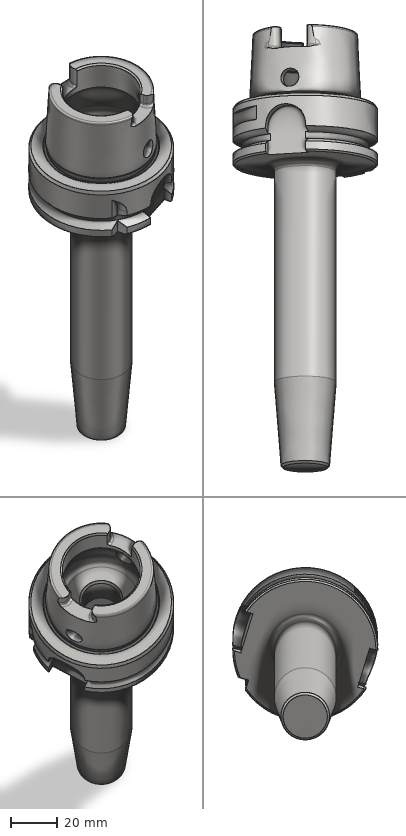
import cadquery as cq
import math

cone_top = 32.0
overall_length = 192.0
tip_bottom = cone_top - overall_length

gauge_radius = 24.0
gauge_height = 6.3
taper_slope = 0.05
rim_rounding = 1.0
taper_base = 2.1
relief_radius = 23.8
relief_top = 1.3
recess_radius = 25.3
recess_floor_radius = 25.0
recess_depth = 0.8

flange_radius = 31.5
flange_bottom = -26.0
flange_edge_width = 1.0
flange_edge_height = 1.3
flange_bottom_chamfer = 0.8
groove_radius = 27.6
groove_upper_edge = -14.8
groove_upper_floor = -16.7
groove_lower_floor = -19.5
groove_lower_edge = -21.5

shank_radius = 13.5
shank_fillet = 2.9
tip_top = -122.1
tip_radius = 10.5
tip_chamfer = 1.0

bore_radius = 16.9
bore_chamfer = 0.8
undercut_top = 19.0
undercut_radius = 20.0
bore_floor = 2.0
bore_floor_fillet = 4.0
hole_radius = 8.5
hole_depth = 15.4
hole_chamfer = 1.0

cross_hole_diameter = 8.0
cross_hole_height = 8.5

drive_half_width = 6.1
drive_corner_radius = 3.0
drive_tangent_radius = 23.0
drive_runout = 5.8
drive_floor_fillet = 1.3
drive_floor_left = 22.0
drive_floor_right = 26.1

keyway_half_width = 9.0
keyway_peak = -4.8
keyway_floor = 26.5

notch_wall = 19.8
notch_peak = -3.8

pad_distance = 29.8
pad_top = -4.2
pad_bottom = -10.2
pad_angle = 135

clearance = 9.6


def taper_radius(height):
    return gauge_radius - taper_slope * (height - gauge_height)


def make_body():
    rim_radius = taper_radius(cone_top - rim_rounding)
    return (
        cq.Workplane("XZ")
        .moveTo(0, cone_top)
        .lineTo(rim_radius - rim_rounding, cone_top)
        .radiusArc((rim_radius, cone_top - rim_rounding), rim_rounding)
        .lineTo(taper_radius(taper_base), taper_base)
        .lineTo(relief_radius, relief_top)
        .lineTo(relief_radius, -recess_depth)
        .lineTo(recess_floor_radius, -recess_depth)
        .lineTo(recess_radius, 0)
        .lineTo(flange_radius - flange_edge_width, 0)
        .lineTo(flange_radius, -flange_edge_height)
        .lineTo(flange_radius, groove_upper_edge)
        .lineTo(groove_radius, groove_upper_floor)
        .lineTo(groove_radius, groove_lower_floor)
        .lineTo(flange_radius, groove_lower_edge)
        .lineTo(flange_radius, flange_bottom + flange_bottom_chamfer)
        .lineTo(flange_radius - flange_bottom_chamfer, flange_bottom)
        .lineTo(shank_radius + shank_fillet, flange_bottom)
        .radiusArc((shank_radius, flange_bottom - shank_fillet), -shank_fillet)
        .lineTo(shank_radius, tip_top)
        .lineTo(tip_radius, tip_bottom + tip_chamfer)
        .lineTo(tip_radius - tip_chamfer, tip_bottom)
        .lineTo(0, tip_bottom)
        .close()
        .revolve(360, (0, 0, 0), (0, 1, 0))
    )


def make_bore():
    return (
        cq.Workplane("XZ")
        .moveTo(0, cone_top)
        .lineTo(bore_radius + bore_chamfer, cone_top)
        .lineTo(bore_radius, cone_top - bore_chamfer)
        .lineTo(bore_radius, undercut_top)
        .lineTo(undercut_radius, undercut_top)
        .lineTo(undercut_radius, bore_floor + bore_floor_fillet)
        .radiusArc((undercut_radius - bore_floor_fillet, bore_floor), bore_floor_fillet)
        .lineTo(hole_radius + hole_chamfer, bore_floor)
        .lineTo(hole_radius, bore_floor - hole_chamfer)
        .lineTo(hole_radius, bore_floor - hole_depth)
        .lineTo(0, bore_floor - hole_depth)
        .close()
        .revolve(360, (0, 0, 0), (0, 1, 0))
    )


def make_cross_hole():
    return (
        cq.Workplane("YZ")
        .center(0, cross_hole_height)
        .circle(cross_hole_diameter / 2)
        .extrude(flange_radius, both=True)
    )


def make_drive_slot(floor):
    """Slot on the +X side whose walls round over into the outside of the taper."""
    arc_center_y = drive_half_width + drive_corner_radius
    arc_center_distance = drive_tangent_radius - drive_corner_radius
    end_angle = math.asin(arc_center_y / arc_center_distance)
    arc_center_x = arc_center_distance * math.cos(end_angle)
    arc_end_x = drive_tangent_radius * math.cos(end_angle)
    arc_end_y = drive_tangent_radius * math.sin(end_angle)
    runout_x = arc_end_x - drive_runout * math.sin(end_angle)
    runout_y = arc_end_y + drive_runout * math.cos(end_angle)
    reach_x = arc_end_x + clearance
    slot = (
        cq.Workplane("XY")
        .workplane(offset=floor)
        .moveTo(0, -drive_half_width)
        .lineTo(arc_center_x, -drive_half_width)
        .radiusArc((arc_end_x, -arc_end_y), drive_corner_radius)
        .lineTo(runout_x, -runout_y)
        .lineTo(reach_x, -runout_y)
        .lineTo(reach_x, runout_y)
        .lineTo(runout_x, runout_y)
        .lineTo(arc_end_x, arc_end_y)
        .radiusArc((arc_center_x, drive_half_width), drive_corner_radius)
        .lineTo(0, drive_half_width)
        .close()
        .extrude(cone_top + clearance - floor)
    )
    wall_edges = slot.faces("<Z").edges(
        cq.selectors.BoxSelector((0.2, -runout_y, floor - 0.2), (arc_end_x, runout_y, floor + 0.2))
    )
    return wall_edges.fillet(drive_floor_fillet)


def make_arched_cutter(center_y, peak, start_x):
    """Slot running in +X from start_x, round at the top and open at the bottom."""
    arch_center = peak - keyway_half_width
    length = flange_radius + clearance - start_x
    legs_height = arch_center - (flange_bottom - clearance)
    legs = cq.Workplane("XY").box(
        length, 2 * keyway_half_width, legs_height, centered=(False, True, False)
    ).translate((start_x, center_y, flange_bottom - clearance))
    arch = (
        cq.Workplane("YZ", origin=(start_x, center_y, arch_center))
        .circle(keyway_half_width)
        .extrude(length)
    )
    return legs.union(arch)


def make_marking_pad():
    return (
        cq.Workplane("XY")
        .box(clearance, 2 * flange_radius, pad_top - pad_bottom, centered=(False, True, False))
        .translate((pad_distance, 0, pad_bottom))
        .rotate((0, 0, 0), (0, 0, 1), pad_angle)
    )


def turn_to_left(cutter):
    return cutter.rotate((0, 0, 0), (0, 0, 1), 180)


keyway = make_arched_cutter(0, keyway_peak, keyway_floor)
corner_notch = make_arched_cutter(-notch_wall - keyway_half_width, notch_peak, notch_wall)

result = (
    make_body()
    .cut(make_bore())
    .cut(make_cross_hole())
    .cut(make_drive_slot(drive_floor_right))
    .cut(turn_to_left(make_drive_slot(drive_floor_left)))
    .cut(keyway)
    .cut(turn_to_left(keyway))
    .cut(corner_notch)
    .cut(make_marking_pad())
)